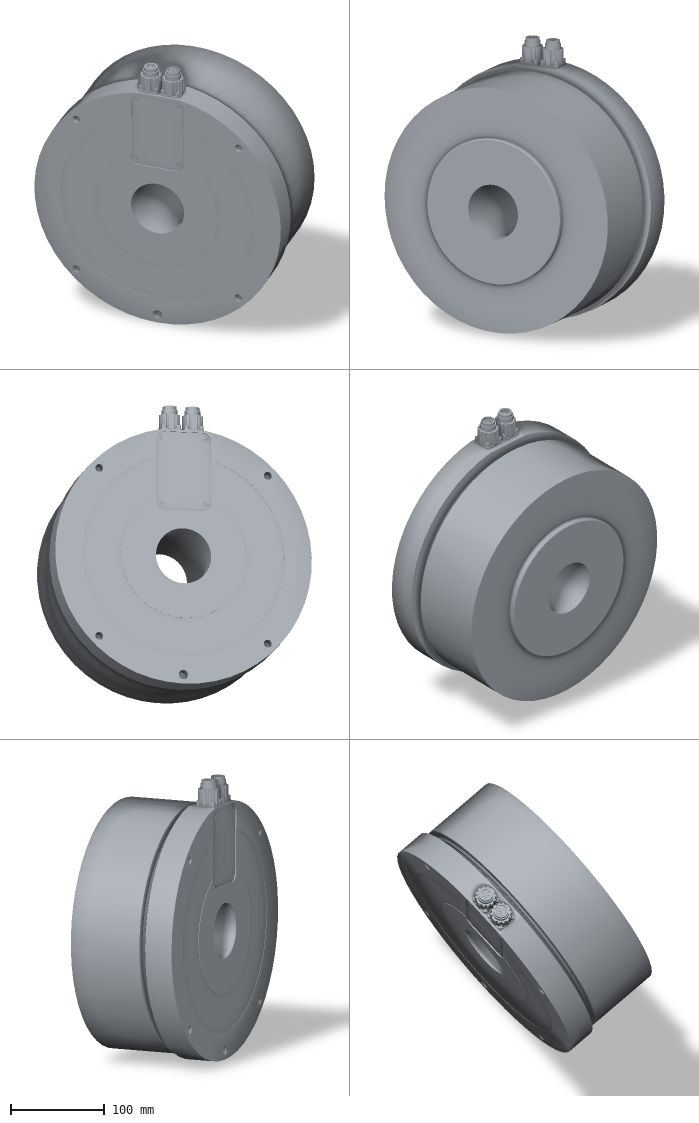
import cadquery as cq
import math

total_height = 305.2
total_length = 127.0
flange_radius = 280.0 / 2
flange_thickness = 30.8
flat_height = 137.7
cone_outer_radius = 125.8
neck_radius = 121.8
cone_length = 4.3
neck_length = 1.0
lip_radius = 123.0
lip_length = 1.0
ring_radius = 126.7
ring_length = 3.0
drum_radius = 135.0
boss_radius = 80.3
boss_length = 7.0
boss_chamfer = 1.0
bore_diameter = 60.0

annulus_outer_diameter = 220.0
annulus_inner_diameter = 136.0
annulus_depth = 0.5

mount_hole_diameter = 8.5
mount_hole_depth = 12.2
drill_point_angle = 118.0
bolt_circle_radius = 130.0
mount_hole_angle = 45.0
locating_hole_diameter = 10.0
locating_hole_depth = 12.2

cover_width = 60.0
cover_top = 135.5
cover_bottom = 49.8
cover_corner_radius = 10.0
cover_depth = 1.37
cover_screw_diameter = 6.7
cover_screw_recess = 0.3
cover_socket_diameter = 3.0
cover_socket_depth = 1.0
cover_screw_offset_x = 48.0 / 2
cover_screw_inset = 7.5

connector_pitch = 24.7
connector_y = 13.5
connector_height = total_height - flange_radius - flat_height
base_side = 22.0
base_height = 1.8
base_corner_radius = 2.7
sleeve_radius = 11.3
sleeve_top = 18.3
flute_radius = 1.5
flute_angles = (23.0, 49.0, 75.0)
collar_diameter = 17.0
collar_top = 23.8
cap_diameter = 15.0
base_screw_offset = 8.2
base_screw_diameter = 4.5
base_screw_top = 6.0
base_socket_diameter = 2.5
base_socket_depth = 1.5
socket_depth = 1.8
pin_length = 1.5

power_connector = (10.0, 1.5, ((6, 3.5),))
signal_connector = (13.0, 1.0, ((1, 0.0), (5, 2.5), (11, 5.0)))


def cylinder_y(diameter, length, x=0.0, z=0.0, start=0.0):
    """Cylinder along +Y that begins at Y = start."""
    return cq.Workplane(cq.Solid.makeCylinder(
        diameter / 2, length, cq.Vector(x, start, z), cq.Vector(0, 1, 0)))


def cylinder_z(diameter, bottom, top, x=0.0, y=0.0):
    """Cylinder along Z between two heights."""
    return cq.Workplane("XY", origin=(x, y, bottom)).circle(diameter / 2).extrude(top - bottom)


def make_housing():
    cone_end = flange_thickness + cone_length
    neck_end = cone_end + neck_length
    lip_end = neck_end + lip_length
    ring_end = lip_end + ring_length
    drum_end = total_length - boss_length
    profile = [
        (0, 0),
        (flange_radius, 0),
        (flange_radius, flange_thickness),
        (cone_outer_radius, flange_thickness),
        (neck_radius, cone_end),
        (neck_radius, neck_end),
        (lip_radius, neck_end),
        (lip_radius, lip_end),
        (ring_radius, lip_end),
        (ring_radius, ring_end),
        (drum_radius, ring_end),
        (drum_radius, drum_end),
        (boss_radius, drum_end),
        (boss_radius, total_length - boss_chamfer),
        (boss_radius - boss_chamfer, total_length),
        (0, total_length),
    ]
    housing = cq.Workplane("XY").polyline(profile).close().revolve(360, (0, 0, 0), (0, 1, 0))
    segment_height = flange_radius - flat_height
    above_flat = cq.Workplane("XY").box(
        2 * flange_radius, flange_thickness, segment_height, centered=(True, False, False)
    ).translate((0, 0, flat_height))
    return housing.cut(above_flat)


def cut_face_annulus(body):
    annulus = cylinder_y(annulus_outer_diameter, annulus_depth).cut(
        cylinder_y(annulus_inner_diameter, annulus_depth))
    return body.cut(annulus)


def cut_mount_holes(body):
    radius = mount_hole_diameter / 2
    point_length = radius / math.tan(math.radians(drill_point_angle / 2))
    offset_x = bolt_circle_radius * math.cos(math.radians(mount_hole_angle))
    offset_z = bolt_circle_radius * math.sin(math.radians(mount_hole_angle))
    for x in (-offset_x, offset_x):
        for z in (-offset_z, offset_z):
            point = cq.Workplane(cq.Solid.makeCone(
                radius, 0, point_length, cq.Vector(x, mount_hole_depth, z), cq.Vector(0, 1, 0)))
            body = body.cut(cylinder_y(mount_hole_diameter, mount_hole_depth, x, z)).cut(point)
    return body.cut(cylinder_y(locating_hole_diameter, locating_hole_depth, 0, -bolt_circle_radius))


def cut_cover(body):
    height = cover_top - cover_bottom
    pocket = (
        cq.Workplane("XY")
        .box(cover_width, cover_depth, height, centered=(True, False, False))
        .edges("|Y").fillet(cover_corner_radius)
        .translate((0, 0, cover_bottom))
    )
    body = body.cut(pocket)
    for x in (-cover_screw_offset_x, cover_screw_offset_x):
        for z in (cover_bottom + cover_screw_inset, cover_top - cover_screw_inset):
            body = body.cut(cylinder_y(cover_screw_diameter, cover_depth + cover_screw_recess, x, z))
            body = body.cut(cylinder_y(cover_socket_diameter, cover_depth + cover_socket_depth, x, z))
    return body


def make_sleeve():
    """Round sleeve with flats level with the front and back of the base, and flutes around it."""
    sleeve = cylinder_z(2 * sleeve_radius, 0, sleeve_top).intersect(
        cq.Workplane("XY").rect(2 * sleeve_radius, base_side).extrude(sleeve_top))
    for angle in flute_angles:
        x = sleeve_radius * math.sin(math.radians(angle))
        y = sleeve_radius * math.cos(math.radians(angle))
        for sign_x in (-1, 1):
            for sign_y in (-1, 1):
                sleeve = sleeve.cut(
                    cylinder_z(2 * flute_radius, base_height, sleeve_top, sign_x * x, sign_y * y))
    return sleeve


def add_pins(connector, pin_diameter, pin_rings):
    floor = connector_height - socket_depth
    for count, pin_ring_radius in pin_rings:
        for index in range(count):
            angle = 2 * math.pi * index / count
            x = pin_ring_radius * math.sin(angle)
            y = pin_ring_radius * math.cos(angle)
            connector = connector.union(cylinder_z(pin_diameter, floor, floor + pin_length, x, y))
    return connector


def make_connector(socket_diameter, pin_diameter, pin_rings):
    """Connector with its foot at Z = 0 and its axis on the Z axis."""
    base = (
        cq.Workplane("XY").rect(base_side, base_side).extrude(base_height)
        .edges("|Z").fillet(base_corner_radius)
    )
    connector = base.union(make_sleeve())
    connector = connector.union(cylinder_z(collar_diameter, 0, collar_top))
    connector = connector.union(cylinder_z(cap_diameter, 0, connector_height))
    for x in (-base_screw_offset, base_screw_offset):
        for y in (-base_screw_offset, base_screw_offset):
            head = cylinder_z(base_screw_diameter, 0, base_screw_top, x, y)
            socket = cylinder_z(
                base_socket_diameter, base_screw_top - base_socket_depth, base_screw_top, x, y)
            connector = connector.union(head).cut(socket)
    connector = connector.cut(
        cylinder_z(socket_diameter, connector_height - socket_depth, connector_height))
    return add_pins(connector, pin_diameter, pin_rings)


housing = make_housing()
housing = cut_face_annulus(housing)
housing = housing.cut(cylinder_y(bore_diameter, total_length))
housing = cut_mount_holes(housing)
housing = cut_cover(housing)
for side, connector_sizes in ((-1, power_connector), (1, signal_connector)):
    foot = (side * connector_pitch / 2, connector_y, flat_height)
    housing = housing.union(make_connector(*connector_sizes).translate(foot))

result = housing